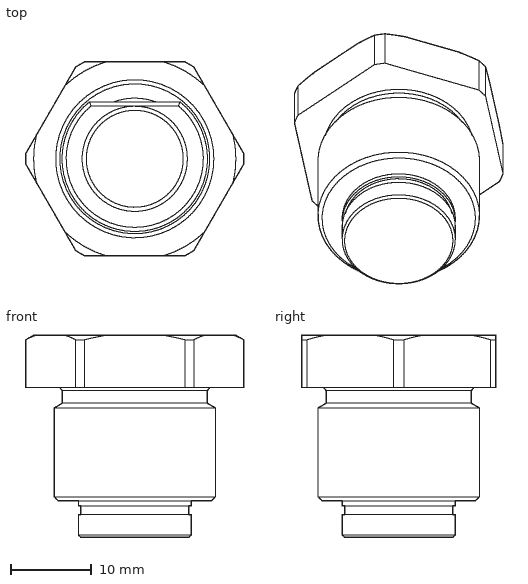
import cadquery as cq
import math


CORNER_DIAMETER = 27.0
ACROSS_FLATS = 24.0
HEAD_HEIGHT = 6.48
HEAD_TOP_RADIUS = 12.5
CORNER_CHAMFER_ANGLE = 30.0

SHANK_RADIUS = 10.0
SHANK_BOTTOM = -20.5
SHANK_TOP = -9.0
SHANK_CHAMFER = 0.5
SHOULDER_ANGLE = 30.0
NECK_RADIUS = 9.0
NECK_FLARE = 0.3
NECK_FLARE_HEIGHT = 0.38

EDGE_CHAMFER = 0.5

BORE_RADIUS = 9.25
BORE_DEPTH = 3.0

SPINDLE_LENGTH = 25.0
SPINDLE_RADIUS = 7.0
SPINDLE_END_CHAMFER = 0.3
FLANGE_RADIUS = 9.0
FLAT_OFFSET = 7.05
RECESS_RADIUS = 6.5
RECESS_DEPTH = 0.5
RING_GROOVE_RADIUS = 6.7
RING_GROOVE_WIDTH = 1.1
RING_GROOVE_GAP = 0.6


def revolve_profile(points):
    """Turn a closed (radius, height) outline about the Z axis."""
    return cq.Workplane("XZ").polyline(points).close().revolve(360, (0, 0, 0), (0, 1, 0))


def make_head():
    """Hexagon with flats facing +Y and -Y, corners turned down and chamfered."""
    corner_radius = CORNER_DIAMETER / 2
    chamfer_drop = (corner_radius - HEAD_TOP_RADIUS) * math.tan(math.radians(CORNER_CHAMFER_ANGLE))
    hexagon_diameter = ACROSS_FLATS / math.cos(math.radians(30))
    hexagon = (
        cq.Workplane("XY")
        .workplane(offset=-HEAD_HEIGHT)
        .polygon(6, hexagon_diameter)
        .extrude(HEAD_HEIGHT)
    )
    turned_envelope = revolve_profile([
        (0, -HEAD_HEIGHT),
        (corner_radius, -HEAD_HEIGHT),
        (corner_radius, -chamfer_drop),
        (HEAD_TOP_RADIUS, 0),
        (0, 0),
    ])
    return hexagon.intersect(turned_envelope)


def make_shank():
    """Neck and shank below the head."""
    shoulder_height = (SHANK_RADIUS - NECK_RADIUS) * math.tan(math.radians(SHOULDER_ANGLE))
    return revolve_profile([
        (0, -HEAD_HEIGHT),
        (NECK_RADIUS + NECK_FLARE, -HEAD_HEIGHT),
        (NECK_RADIUS, -HEAD_HEIGHT - NECK_FLARE_HEIGHT),
        (NECK_RADIUS, SHANK_TOP + shoulder_height),
        (SHANK_RADIUS, SHANK_TOP),
        (SHANK_RADIUS, SHANK_BOTTOM + SHANK_CHAMFER),
        (SHANK_RADIUS - SHANK_CHAMFER, SHANK_BOTTOM),
        (0, SHANK_BOTTOM),
    ])


def make_stepped_bore():
    """Flange bore and spindle hole, each opening through a chamfered mouth."""
    return revolve_profile([
        (0, 0),
        (BORE_RADIUS + EDGE_CHAMFER, 0),
        (BORE_RADIUS, -EDGE_CHAMFER),
        (BORE_RADIUS, -BORE_DEPTH),
        (SPINDLE_RADIUS + EDGE_CHAMFER, -BORE_DEPTH),
        (SPINDLE_RADIUS, -BORE_DEPTH - EDGE_CHAMFER),
        (SPINDLE_RADIUS, SHANK_BOTTOM),
        (0, SHANK_BOTTOM),
    ])


def make_housing():
    return make_head().union(make_shank()).cut(make_stepped_bore())


def make_flange():
    """Round flange with one flat towards +Y, chamfered around its whole top edge."""
    flange = cq.Workplane("XY").workplane(offset=-BORE_DEPTH).circle(FLANGE_RADIUS).extrude(BORE_DEPTH)
    beyond_flat = (
        cq.Workplane("XY")
        .workplane(offset=-BORE_DEPTH)
        .center(0, FLAT_OFFSET + FLANGE_RADIUS / 2)
        .rect(2 * FLANGE_RADIUS, FLANGE_RADIUS)
        .extrude(BORE_DEPTH)
    )
    return flange.cut(beyond_flat).faces(">Z").chamfer(EDGE_CHAMFER)


def make_stem():
    """Spindle stem with a retaining-ring groove just below the shank."""
    groove_top = SHANK_BOTTOM - RING_GROOVE_GAP
    groove_bottom = groove_top - RING_GROOVE_WIDTH
    return revolve_profile([
        (0, -BORE_DEPTH),
        (SPINDLE_RADIUS, -BORE_DEPTH),
        (SPINDLE_RADIUS, groove_top),
        (RING_GROOVE_RADIUS, groove_top),
        (RING_GROOVE_RADIUS, groove_bottom),
        (SPINDLE_RADIUS, groove_bottom),
        (SPINDLE_RADIUS, -SPINDLE_LENGTH + SPINDLE_END_CHAMFER),
        (SPINDLE_RADIUS - SPINDLE_END_CHAMFER, -SPINDLE_LENGTH),
        (0, -SPINDLE_LENGTH),
    ])


def make_recess():
    """Shallow dish in the flange top with a 45 degree wall."""
    return revolve_profile([
        (0, 0),
        (RECESS_RADIUS, 0),
        (RECESS_RADIUS - RECESS_DEPTH, -RECESS_DEPTH),
        (0, -RECESS_DEPTH),
    ])


def make_spindle():
    return make_flange().union(make_stem()).cut(make_recess())


housing = make_housing()
spindle = make_spindle()

result = cq.Compound.makeCompound([housing.val(), spindle.val()])